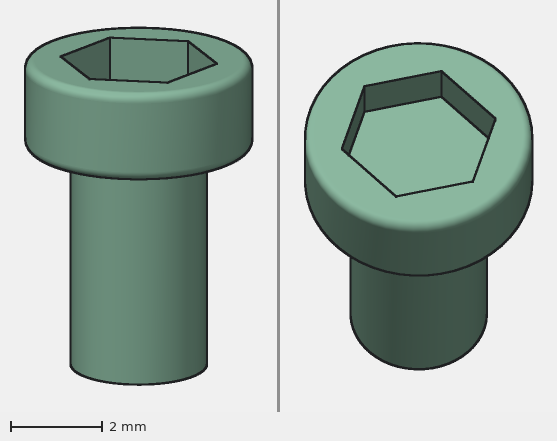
import cadquery as cq
import math

total_length = 7.0
head_diameter = 5.0
head_height = 2.0
head_edge_radius = 0.2
shank_diameter = 3.0
shank_length = total_length - head_height
socket_across_flats = 3.0
socket_across_corners = socket_across_flats / math.cos(math.radians(30))
socket_depth = 1.0


def make_head():
    """Cylindrical head with both rims rounded."""
    head = cq.Workplane("XY").circle(head_diameter / 2).extrude(head_height)
    return head.edges("%CIRCLE").fillet(head_edge_radius)


def make_shank():
    """Plain shank hanging below the head."""
    return cq.Workplane("XY").circle(shank_diameter / 2).extrude(-shank_length)


def make_socket():
    """Hexagonal drive recess, with two corners on the X axis."""
    top = cq.Workplane("XY").workplane(offset=head_height)
    return top.polygon(6, socket_across_corners).extrude(-socket_depth)


result = make_head().union(make_shank()).cut(make_socket())